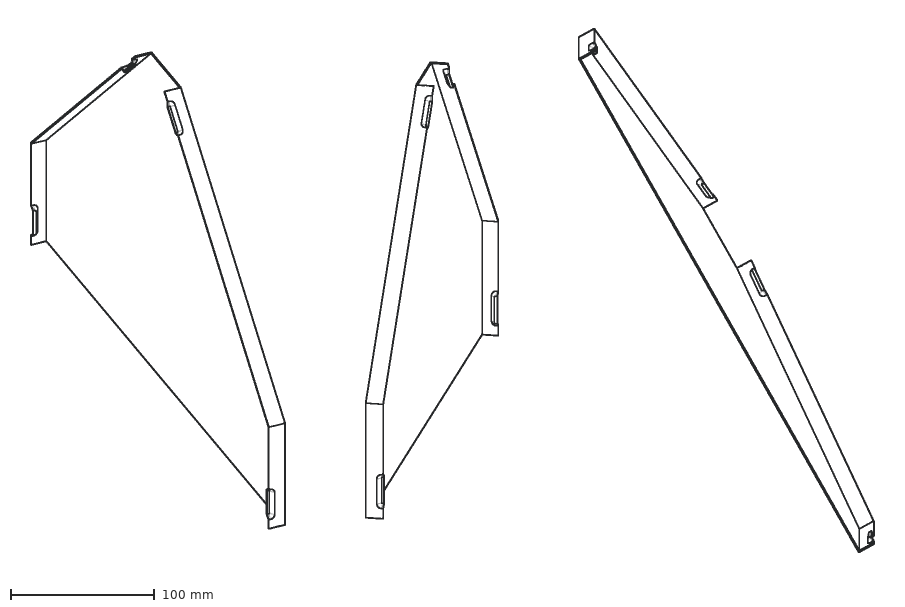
import cadquery as cq
import math

width = 400.0
height = 259.5
depth = 12.5
thickness = 1.0
top_width = 49.5

dimple_length = 25.0
dimple_reach = 4.5
dimple_depth = 3.0
dimple_corner = 3.0
dimple_slope = 40.0
dimple_setback = 20.0

half_width = width / 2
half_top = top_width / 2
shoulder_height = height - (half_width - half_top)

bottom_left = (-half_width, 0)
left_shoulder = (-half_width, shoulder_height)
top_left = (-half_top, height)
top_right = (half_top, height)
right_shoulder = (half_width, shoulder_height)
bottom_right = (half_width, 0)
corners = [bottom_left, left_shoulder, top_left, top_right, right_shoulder, bottom_right]


def extrude_forward(points, length):
    """Extrude an XZ outline from the back face (Y = 0) towards -Y."""
    return cq.Workplane("XZ").polyline(points).close().extrude(length)


def make_flange(start, end):
    """Wall along one panel edge; the panel lies to the right of start -> end."""
    length = math.dist(start, end)
    inward = (
        (end[1] - start[1]) / length * thickness,
        (start[0] - end[0]) / length * thickness,
    )
    inner_start = (start[0] + inward[0], start[1] + inward[1])
    inner_end = (end[0] + inward[0], end[1] + inward[1])
    return extrude_forward([start, end, inner_end, inner_start], depth)


def dimple_form(plane, offset, growth):
    """Sloped, rounded form centered on the free edge of a flange."""
    return (
        cq.Workplane(plane)
        .workplane(offset=offset)
        .sketch()
        .rect(dimple_length + 2 * growth, 2 * (dimple_reach + growth))
        .vertices()
        .fillet(dimple_corner + growth)
        .finalize()
        .extrude(dimple_depth, taper=dimple_slope)
    )


def add_dimple(body, flange_end, other_end):
    """Press a dimple into the flange, set back from flange_end."""
    length = math.dist(flange_end, other_end)
    along = ((other_end[0] - flange_end[0]) / length, (other_end[1] - flange_end[1]) / length)
    center = (
        flange_end[0] + along[0] * dimple_setback,
        -depth,
        flange_end[1] + along[1] * dimple_setback,
    )
    side = -math.copysign(1, flange_end[0])
    inward = (side * abs(along[1]), 0, -abs(along[0]))
    plane = cq.Plane(origin=center, xDir=(along[0], 0, along[1]), normal=inward)

    growth = thickness * math.tan(math.radians(dimple_slope / 2))
    raised_form = dimple_form(plane, thickness, growth)
    recess = dimple_form(plane, 0, 0)
    return body.union(raised_form).cut(recess)


result = extrude_forward(corners, thickness)
envelope = extrude_forward(corners, depth)

flanges = [
    (bottom_left, left_shoulder),
    (left_shoulder, top_left),
    (top_right, right_shoulder),
    (right_shoulder, bottom_right),
]
for start, end in flanges:
    result = result.union(make_flange(start, end).intersect(envelope))

dimpled_edges = [
    (bottom_left, left_shoulder),
    (top_left, left_shoulder),
    (top_right, right_shoulder),
    (bottom_right, right_shoulder),
]
for flange_end, other_end in dimpled_edges:
    result = add_dimple(result, flange_end, other_end)

result = result.intersect(envelope)